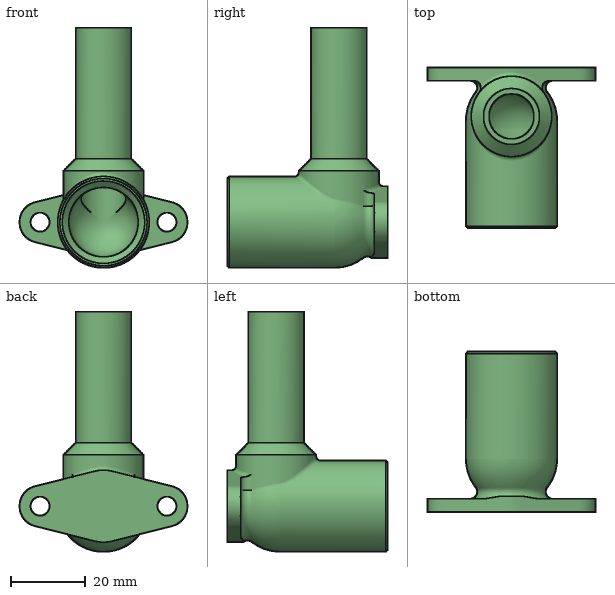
import cadquery as cq
import math

socket_radius = 24.5 / 2
socket_bore_radius = 18.6 / 2
socket_face_y = -29.9
socket_edge_chamfer = 0.6
lead_in = 1.75
elbow_center_y = -1.1

pipe_radius = 15.0 / 2
pipe_bore_radius = 12.0 / 2
collar_radius = 21.5 / 2
collar_top_z = 13.7
overall_height = 64.25
pipe_top_z = overall_height - socket_radius
cone_height = collar_radius - pipe_radius

flange_length = 45
flange_thickness = 3.6
flange_back_y = 13.1
flange_front_y = flange_back_y - flange_thickness
flange_middle_radius = 9.65
ear_radius = 5.5
ear_offset = flange_length / 2 - ear_radius
screw_hole_radius = 5.0 / 2

flange_fillet = 1.85
collar_fillet = 1.0
root_start_z = 2.6


def make_body():
    """Socket tube with a spherical closed end."""
    tube_length = elbow_center_y - socket_face_y
    tube = cq.Workplane("XZ", origin=(0, elbow_center_y, 0)).circle(socket_radius).extrude(tube_length)
    tube = tube.faces("<Y").chamfer(socket_edge_chamfer)
    elbow = cq.Workplane("XY").sphere(socket_radius).translate((0, elbow_center_y, 0))
    return tube.union(elbow)


def make_riser():
    """Collar, 45 degree cone and pipe as one turned shape."""
    cone_top_z = collar_top_z + cone_height
    return (
        cq.Workplane("XZ")
        .moveTo(0, 0)
        .lineTo(collar_radius, 0)
        .lineTo(collar_radius, collar_top_z)
        .lineTo(pipe_radius, cone_top_z)
        .lineTo(pipe_radius, pipe_top_z)
        .lineTo(0, pipe_top_z)
        .close()
        .revolve(360, (0, 0), (0, 1))
    )


def make_flange_outline():
    """Two-eared outline: three circles joined by their common tangents."""
    sine = (flange_middle_radius - ear_radius) / ear_offset
    cosine = math.sqrt(1 - sine**2)
    mid_x = flange_middle_radius * sine
    mid_z = flange_middle_radius * cosine
    ear_x = ear_offset + ear_radius * sine
    ear_z = ear_radius * cosine
    return (
        cq.Workplane("XZ", origin=(0, flange_back_y, 0))
        .moveTo(-mid_x, mid_z)
        .threePointArc((0, flange_middle_radius), (mid_x, mid_z))
        .lineTo(ear_x, ear_z)
        .threePointArc((flange_length / 2, 0), (ear_x, -ear_z))
        .lineTo(mid_x, -mid_z)
        .threePointArc((0, -flange_middle_radius), (-mid_x, -mid_z))
        .lineTo(-ear_x, -ear_z)
        .threePointArc((-flange_length / 2, 0), (-ear_x, ear_z))
        .close()
    )


def make_blended_body():
    """Body and riser with a fillet along the curve where they meet."""
    body = make_body().union(make_riser())
    seam_box = cq.selectors.BoxSelector(
        (-socket_radius, -socket_radius, 0), (socket_radius, socket_radius, socket_radius)
    )
    return body.edges("%BSPLINE").edges(seam_box).fillet(collar_fillet)


def flange_root_section(inner_radius, inner_y):
    """Half section of the fillet between a round of the body and the flange front."""
    arc_center_y = flange_front_y - flange_fillet
    rise = arc_center_y - inner_y
    reach = inner_radius + flange_fillet
    arc_center_x = math.sqrt(reach**2 - rise**2)
    contact_x = arc_center_x * inner_radius / reach
    contact_y = inner_y + rise * inner_radius / reach
    return (
        cq.Workplane("XY")
        .moveTo(0, inner_y)
        .lineTo(contact_x, contact_y)
        .radiusArc((arc_center_x, flange_front_y), flange_fillet)
        .lineTo(0, flange_front_y)
        .close()
    )


def make_mount_envelope():
    """Flange outline run forward past the collar and filleted to it on top."""
    depth = flange_back_y + 2 * collar_radius
    collar = cq.Workplane("XY").circle(collar_radius).extrude(collar_top_z)
    joined = make_flange_outline().extrude(depth).union(collar)
    seam_box = cq.selectors.BoxSelector(
        (-collar_radius, -collar_radius - 0.65, ear_radius),
        (collar_radius, collar_radius + 0.65, flange_middle_radius + 0.65),
    )
    seam = joined.edges("not(%LINE)").edges(seam_box)
    return seam.fillet(collar_fillet)


def make_mount():
    """Flange with its fillets to the elbow and the collar."""
    plate = cq.Workplane("XY").box(
        flange_length, flange_thickness, 2 * collar_top_z, centered=(True, False, True)
    )
    plate = plate.translate((0, flange_front_y, 0))
    elbow_root = flange_root_section(socket_radius, elbow_center_y).revolve(360, (0, 0), (0, 1))
    half_collar_root = flange_root_section(collar_radius, 0).extrude(collar_top_z - root_start_z)
    half_collar_root = half_collar_root.translate((0, 0, root_start_z))
    collar_root = half_collar_root.union(half_collar_root.mirror("YZ"))
    return plate.union(elbow_root).union(collar_root).intersect(make_mount_envelope())


def make_cavity():
    """Socket bore with lead-in cone and round end, opening into the pipe bore."""
    round_end_y = pipe_bore_radius - socket_bore_radius
    mouth_radius = socket_bore_radius + lead_in
    socket_bore = (
        cq.Workplane("XY")
        .moveTo(0, socket_face_y)
        .lineTo(mouth_radius, socket_face_y)
        .lineTo(socket_bore_radius, socket_face_y + lead_in)
        .lineTo(socket_bore_radius, round_end_y)
        .radiusArc((0, round_end_y + socket_bore_radius), -socket_bore_radius)
        .close()
        .revolve(360, (0, 0), (0, 1))
    )
    pipe_bore = cq.Workplane("XY").circle(pipe_bore_radius).extrude(pipe_top_z)
    return socket_bore.union(pipe_bore)


def make_screw_holes():
    """One hole through each ear of the flange."""
    return (
        cq.Workplane("XZ", origin=(0, flange_back_y, 0))
        .pushPoints([(-ear_offset, 0), (ear_offset, 0)])
        .circle(screw_hole_radius)
        .extrude(flange_thickness)
    )


outside = make_blended_body().union(make_mount())
result = outside.cut(make_cavity()).cut(make_screw_holes())